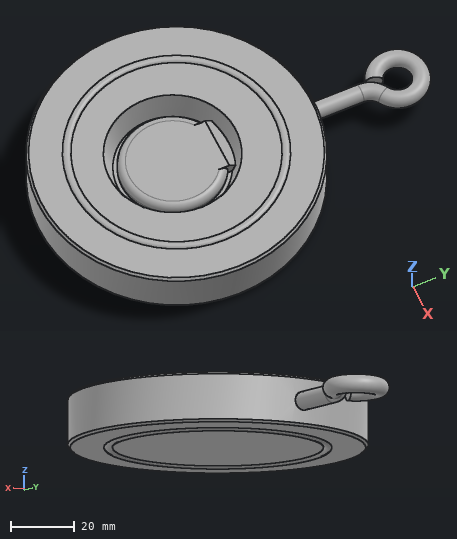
import cadquery as cq
import math

body_diameter = 95.0
body_radius = body_diameter / 2
overall_length = 135
overall_height = 17.5
body_height = 16.0
body_chamfer = 0.8

seal_outer_radius = 36.0
seal_width = 2.7
seal_height = (overall_height - body_height) / 2

seat_offset_y = -1.3
seat_top_radius = 21.9
seat_floor_radius = 18.9
seat_depth = 8.1
flap_radius = 17.5
flap_depth = 4.2
flap_round = 2.5

tab_width = 18.2
tab_flat_end = 15.5
tab_slope_angle = 30

bar_diameter = 6.0
bar_radius = bar_diameter / 2
eye_radius = 7.5
eye_start_angle = -60
eye_end_angle = 255

body_top = body_height / 2
seat_floor = body_top - seat_depth
flap_top = body_top - flap_depth


def make_body():
    """Chamfered disc with the tapered seat cut into its top face."""
    disc = cq.Workplane("XY", origin=(0, 0, -body_top)).circle(body_radius).extrude(body_height)
    disc = disc.edges().chamfer(body_chamfer)
    seat = (
        cq.Workplane("XY", origin=(0, seat_offset_y, seat_floor))
        .circle(seat_floor_radius)
        .workplane(offset=seat_depth)
        .circle(seat_top_radius)
        .loft()
    )
    return disc.cut(seat)


def make_seal():
    """Ring with an arched top, sunk by its own height into the top face."""
    inner_radius = seal_outer_radius - seal_width
    middle_radius = seal_outer_radius - seal_width / 2
    return (
        cq.Workplane("XZ")
        .moveTo(inner_radius, body_top - seal_height)
        .lineTo(inner_radius, body_top)
        .threePointArc((middle_radius, body_top + seal_height), (seal_outer_radius, body_top))
        .lineTo(seal_outer_radius, body_top - seal_height)
        .close()
        .revolve()
    )


def make_flap():
    """Round flap on the seat floor, with a rounded rim that is cleared where the tab goes."""
    flap_height = flap_top - seat_floor
    tab_gap = cq.Workplane("XY", origin=(0, seat_offset_y, seat_floor)).box(
        tab_width, flap_radius, flap_height, centered=(True, False, False)
    )
    return (
        cq.Workplane("XY", origin=(0, seat_offset_y, seat_floor))
        .circle(flap_radius)
        .extrude(flap_height)
        .faces(">Z")
        .edges()
        .fillet(flap_round)
        .cut(tab_gap)
    )


def make_tab():
    """Tab from the flap centre, flat and then sloping down into the seat wall."""
    tab_length = seat_top_radius
    slope_drop = (tab_length - tab_flat_end) * math.tan(math.radians(tab_slope_angle))
    return (
        cq.Workplane("YZ", origin=(-tab_width / 2, seat_offset_y, 0))
        .moveTo(0, seat_floor)
        .lineTo(0, flap_top)
        .lineTo(tab_flat_end, flap_top)
        .lineTo(tab_length, flap_top - slope_drop)
        .lineTo(tab_length, seat_floor)
        .close()
        .extrude(tab_width)
    )


def make_eye_bolt():
    """Bar that leaves the body along Y, bends aside and curls into an open eye."""
    eye_center_y = overall_length - body_radius - eye_radius - bar_radius

    def eye_point(angle):
        radians = math.radians(angle)
        return eye_radius * math.cos(radians), eye_center_y + eye_radius * math.sin(radians)

    eye_start = eye_point(eye_start_angle)
    bend_start_y = 2 * eye_start[1] - eye_center_y
    bar_start_y = body_radius - bar_diameter
    path = (
        cq.Workplane("XY")
        .moveTo(0, bar_start_y)
        .lineTo(0, bend_start_y)
        .tangentArcPoint(eye_start, relative=False)
        .threePointArc(eye_point((eye_start_angle + eye_end_angle) / 2), eye_point(eye_end_angle))
    )
    return cq.Workplane("XZ", origin=(0, bar_start_y, 0)).circle(bar_radius).sweep(path)


top_seal = make_seal()
result = (
    make_body()
    .union(top_seal)
    .union(top_seal.mirror("XY"))
    .union(make_flap().union(make_tab()))
    .union(make_eye_bolt())
)